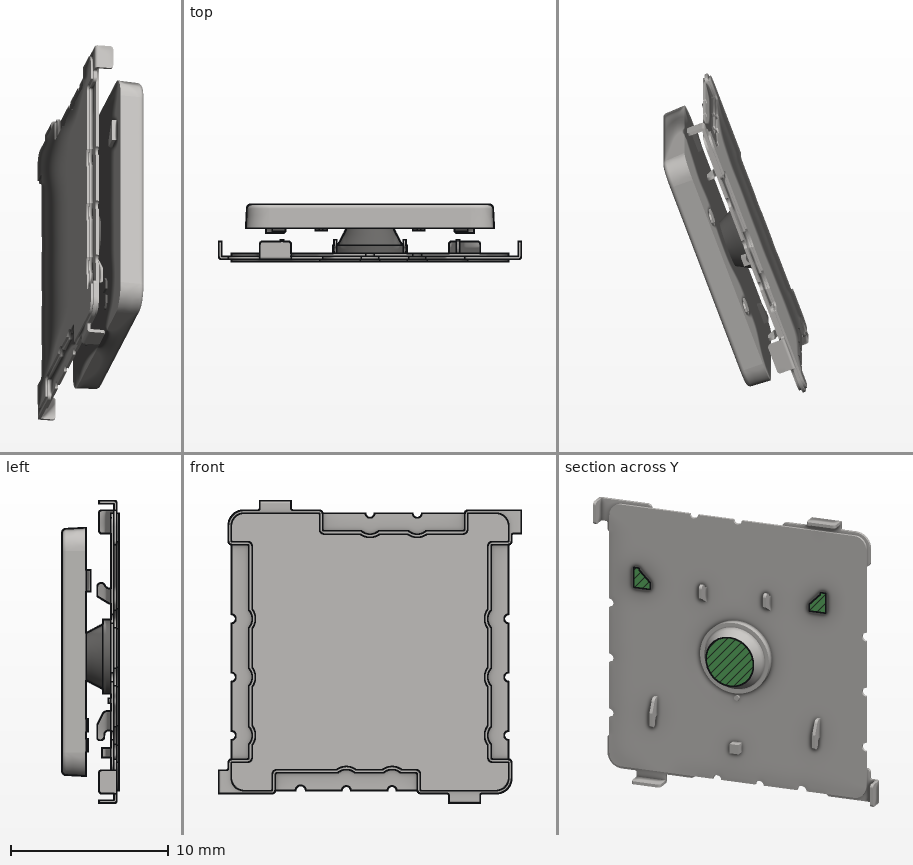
import cadquery as cq

PAD_DEPTH = 0.14
SHEET = 0.2
PAN_BACK = PAD_DEPTH + SHEET
PLATE_THICKNESS = 0.18
PLATE_BACK = PAN_BACK + PLATE_THICKNESS
COLLAR_BACK = 1.04
CAP_FRONT = 2.1
CAP_BACK = 3.64

PAN_HALF = 9.0
PAN_CORNER_RADIUS = 1.0
PAD_MARGIN = 0.2
RECESS_DEPTH = 1.32
RECESS_FLOOR = PAN_HALF - RECESS_DEPTH
RECESS_CORNER_RADIUS = 0.1
RECESS_MOUTH_RADIUS = 0.25
SIDE_RECESS_HALF = 6.8
END_RECESS_NEAR = -3.0
END_RECESS_FAR = 6.0
CUTTER_OVERHANG = 1.0

BULGE_RADIUS = 0.83
BULGE_RISE = 0.21
SIDE_NOTCHES = (-5.3, -1.6, 2.1)
TOP_NOTCHES = (0.0, 3.0)
BOTTOM_NOTCHES = (-1.5, 1.4)
NOTCH_RADIUS = 0.28
WIDE_NOTCH_X = -4.4
WIDE_NOTCH_RADIUS = 0.32

PLATE_HALF = PAN_HALF - PAD_MARGIN
PLATE_CORNER_RADIUS = PAN_CORNER_RADIUS - PAD_MARGIN

TAB_REACH = 9.6
TAB_BACK = 1.29
TAB_ROOT_RADIUS = 0.1
TAB_TIP_RADIUS = 0.2
BEND_RADIUS = 0.17
END_TAB_CENTER = -6.0
END_TAB_WIDTH = 2.0
CORNER_TAB_WIDTH = 1.5

CONE_CENTER_Z = -0.3
COLLAR_RADIUS = 2.36
CONE_BASE_RADIUS = 2.06
CONE_TIP_RADIUS = 1.5

CAP_HALF = 7.89
CAP_CORNER_RADIUS = 1.5
CAP_DRAFT = 3.0
CAP_EDGE_RADIUS = 0.28

LUG_FRONT = 1.8
LUG_OUTER_X = 6.6
LUG_SHOULDER_X = 6.2
LUG_INNER_X = 5.35
LUG_TOP_Z = 5.2
LUG_BOTTOM_Z = 3.83
LUG_CHAMFER = 0.12

CAP_PAD_FRONT = 1.97
CAP_PAD_X = 3.1
CAP_PAD_PAIR_Z = -5.3
CAP_PAD_INNER = 0.22
CAP_PAD_OUTER = 1.05
CAP_PAD_WIDTH = 0.78
CAP_PAD_CHAMFER = 0.28

HOOK_BACK = 1.4
INNER_HOOK_X = 2.2
OUTER_HOOK_X = 5.58

BLOCK_Z = -6.4
BLOCK_SIZE = 0.62
BLOCK_BACK = 1.1
PIN_Z = -3.1
PIN_RADIUS = 0.17
PIN_BACK = 0.7


def sketch_at(y):
    """Workplane facing -Y at the given level; its local axes are X and Z."""
    return cq.Workplane("XZ", origin=(0, y, 0))


def slab(x_min, x_max, z_min, z_max, y_min, y_max):
    size = (x_max - x_min, y_max - y_min, z_max - z_min)
    return cq.Workplane("XY").box(*size, centered=False).translate((x_min, y_min, z_min))


def rounded_square(half, radius, y_min, y_max):
    return slab(-half, half, -half, half, y_min, y_max).edges("|Y").fillet(radius)


def disc(x, z, radius, y_min, y_max):
    return sketch_at(y_min).center(x, z).circle(radius).extrude(y_min - y_max)


def half_turn(body):
    return body.rotate((0, 0, 0), (0, 1, 0), 180)


def recess(start, end, bulges, turn):
    """Cutter for the recess of the +Z side, turned about Y onto the wanted side."""
    cutter = slab(start, end, RECESS_FLOOR, PAN_HALF + CUTTER_OVERHANG, PAD_DEPTH, PAN_BACK)
    cutter = cutter.edges("|Y").fillet(RECESS_CORNER_RADIUS)
    bulge_z = RECESS_FLOOR - BULGE_RISE + BULGE_RADIUS
    for x in bulges:
        cutter = cutter.union(disc(x, bulge_z, BULGE_RADIUS, PAD_DEPTH, PAN_BACK))
    return cutter.rotate((0, 0, 0), (0, 1, 0), turn)


def recessed_sheet():
    sheet = rounded_square(PAN_HALF, PAN_CORNER_RADIUS, PAD_DEPTH, PAN_BACK)
    right_bulges = [-z for z in SIDE_NOTCHES]
    bottom_bulges = [-x for x in BOTTOM_NOTCHES]
    sheet = sheet.cut(recess(END_RECESS_NEAR, END_RECESS_FAR, TOP_NOTCHES, 0))
    sheet = sheet.cut(recess(-SIDE_RECESS_HALF, SIDE_RECESS_HALF, right_bulges, 90))
    sheet = sheet.cut(recess(END_RECESS_NEAR, END_RECESS_FAR, bottom_bulges, 180))
    sheet = sheet.cut(recess(-SIDE_RECESS_HALF, SIDE_RECESS_HALF, SIDE_NOTCHES, 270))
    mouths = [(x, PAN_HALF) for x in (END_RECESS_NEAR, END_RECESS_FAR)]
    mouths += [(PAN_HALF, z) for z in (-SIDE_RECESS_HALF, SIDE_RECESS_HALF)]
    for x, z in mouths:
        for side in (1, -1):
            corner = (side * x, (PAD_DEPTH + PAN_BACK) / 2, side * z)
            edge = sheet.edges("|Y").edges(cq.NearestToPointSelector(corner))
            sheet = edge.fillet(RECESS_MOUTH_RADIUS)
    return sheet


def raised_pad(sheet):
    outline = sheet.faces("<Y").wires().val().offset2D(-PAD_MARGIN)[0]
    return cq.Workplane(cq.Solid.extrudeLinear(outline, [], cq.Vector(0, -PAD_DEPTH, 0)))


def bent_tab(start, end):
    """Tab on the +Z side, spanning start to end along X and bent towards +Y."""
    rooted = PAN_HALF - PAN_CORNER_RADIUS
    foot = slab(start, end, rooted, TAB_REACH, PAD_DEPTH, PAN_BACK)
    wall = slab(start, end, TAB_REACH - SHEET, TAB_REACH, PAD_DEPTH, TAB_BACK)
    wall = wall.edges("|Z and >Y").fillet(TAB_TIP_RADIUS)
    return foot.union(wall).edges("|X and >Z and <Y").fillet(BEND_RADIUS)


def pan():
    sheet = recessed_sheet()
    pad = raised_pad(sheet)
    end_start = END_TAB_CENTER - END_TAB_WIDTH / 2
    end_stop = END_TAB_CENTER + END_TAB_WIDTH / 2
    corner_stop = PAN_HALF - CORNER_TAB_WIDTH
    end_tab = bent_tab(end_start, end_stop)
    corner_tab = bent_tab(-PAN_HALF, -corner_stop).rotate((0, 0, 0), (0, 1, 0), 270)
    for tab in (end_tab, corner_tab):
        sheet = sheet.union(tab).union(half_turn(tab))
    roots = [(end_start, PAN_HALF), (end_stop, PAN_HALF), (PAN_HALF, corner_stop)]
    for x, z in roots:
        for side in (1, -1):
            corner = (side * x, (PAD_DEPTH + PAN_BACK) / 2, side * z)
            edge = sheet.edges("|Y").edges(cq.NearestToPointSelector(corner))
            sheet = edge.fillet(TAB_ROOT_RADIUS)
    return sheet.union(pad)


def notched_plate():
    plate = rounded_square(PLATE_HALF, PLATE_CORNER_RADIUS, PAN_BACK, PLATE_BACK)
    notches = [(side * PLATE_HALF, z) for side in (1, -1) for z in SIDE_NOTCHES]
    notches += [(x, PLATE_HALF) for x in TOP_NOTCHES]
    notches += [(x, -PLATE_HALF) for x in BOTTOM_NOTCHES]
    for x, z in notches:
        plate = plate.cut(disc(x, z, NOTCH_RADIUS, PAN_BACK, PLATE_BACK))
    return plate.cut(disc(WIDE_NOTCH_X, -PLATE_HALF, WIDE_NOTCH_RADIUS, PAN_BACK, PLATE_BACK))


def collar_and_cone():
    """Turned about an axis along Y, from the plate to the underside of the cap."""
    profile = [
        (0, PLATE_BACK),
        (COLLAR_RADIUS, PLATE_BACK),
        (COLLAR_RADIUS, COLLAR_BACK),
        (CONE_BASE_RADIUS, COLLAR_BACK),
        (CONE_TIP_RADIUS, CAP_FRONT),
        (0, CAP_FRONT),
    ]
    half_plane = cq.Workplane(cq.Plane((0, 0, CONE_CENTER_Z), (0, 0, 1), (-1, 0, 0)))
    return half_plane.polyline(profile).close().revolve(360, (0, 0), (0, 1))


def cap():
    outline = cq.Sketch().rect(2 * CAP_HALF, 2 * CAP_HALF).vertices().fillet(CAP_CORNER_RADIUS)
    body = sketch_at(CAP_FRONT).placeSketch(outline).extrude(CAP_FRONT - CAP_BACK, taper=CAP_DRAFT)
    return body.faces(">Y").edges().fillet(CAP_EDGE_RADIUS)


def cap_lug():
    """Lug on the +X side: a square block and a wedge with bevelled lower edges towards X = 0."""
    block = slab(LUG_SHOULDER_X, LUG_OUTER_X, LUG_BOTTOM_Z, LUG_TOP_Z, LUG_FRONT, CAP_FRONT)
    slant_run = LUG_SHOULDER_X - LUG_INNER_X
    slant_end_z = LUG_TOP_Z - slant_run
    outline = [
        (LUG_SHOULDER_X, LUG_BOTTOM_Z),
        (LUG_SHOULDER_X, LUG_TOP_Z),
        (LUG_INNER_X, slant_end_z),
        (LUG_INNER_X, LUG_BOTTOM_Z),
    ]
    wedge = sketch_at(LUG_FRONT).polyline(outline).close().extrude(LUG_FRONT - CAP_FRONT)
    slant_middle = (LUG_SHOULDER_X - slant_run / 2, LUG_FRONT, LUG_TOP_Z - slant_run / 2)
    inner_middle = (LUG_INNER_X, LUG_FRONT, (slant_end_z + LUG_BOTTOM_Z) / 2)
    slant_edge = wedge.edges(cq.NearestToPointSelector(slant_middle))
    inner_edge = wedge.edges(cq.NearestToPointSelector(inner_middle))
    wedge = wedge.newObject(slant_edge.vals() + inner_edge.vals()).chamfer(LUG_CHAMFER)
    return block.union(wedge)


def cap_pad(x, direction):
    """Pad of a facing pair; direction is the way its tapered outer end points along Z."""
    ends = [CAP_PAD_PAIR_Z + direction * reach for reach in (CAP_PAD_INNER, CAP_PAD_OUTER)]
    half = CAP_PAD_WIDTH / 2
    pad = slab(x - half, x + half, min(ends), max(ends), CAP_PAD_FRONT, CAP_FRONT)
    outer_end = ">Z" if direction > 0 else "<Z"
    return pad.faces(outer_end).edges("|Y").chamfer(CAP_PAD_CHAMFER)


def hook_sheet(profile, x):
    """Close a YZ profile and give it the sheet thickness, centred on x."""
    return profile.close().extrude(SHEET / 2, both=True).translate((x, 0, 0))


def upper_hook(x):
    """Short hook whose rounded head points towards +Z."""
    root_low = 3.07
    root_high = 4.03
    slope_start = (0.64, root_low)
    slope_end = (HOOK_BACK, 3.53)
    head_start = (HOOK_BACK, 4.15)
    head_tip = (1.15, 4.38)
    throat_start = (0.92, 4.25)
    throat_middle = (0.8, 4.09)
    throat_end = (0.62, root_high)
    profile = (
        cq.Workplane("YZ")
        .moveTo(PLATE_BACK, root_low)
        .lineTo(*slope_start)
        .lineTo(*slope_end)
        .lineTo(*head_start)
        .threePointArc(head_tip, throat_start)
        .threePointArc(throat_middle, throat_end)
        .lineTo(PLATE_BACK, root_high)
    )
    return hook_sheet(profile, x)


def lower_hook(x):
    """Long hook whose rounded head points towards -Z."""
    root_high = -3.75
    root_low = -5.0
    shoulder_start = (0.8, root_high)
    shoulder_middle = (0.99, -3.85)
    shoulder_end = (1.1, -4.03)
    slope_end = (HOOK_BACK, -4.63)
    head_start = (HOOK_BACK, -5.5)
    head_tip = (1.18, -5.62)
    head_end = (0.95, -5.45)
    throat_start = (0.93, -5.25)
    throat_middle = (0.86, -5.07)
    throat_end = (0.7, root_low)
    profile = (
        cq.Workplane("YZ")
        .moveTo(PLATE_BACK, root_high)
        .lineTo(*shoulder_start)
        .threePointArc(shoulder_middle, shoulder_end)
        .lineTo(*slope_end)
        .lineTo(*head_start)
        .threePointArc(head_tip, head_end)
        .lineTo(*throat_start)
        .threePointArc(throat_middle, throat_end)
        .lineTo(PLATE_BACK, root_low)
    )
    return hook_sheet(profile, x)


def block_and_pin():
    half = BLOCK_SIZE / 2
    block = slab(-half, half, BLOCK_Z - half, BLOCK_Z + half, PLATE_BACK, BLOCK_BACK)
    pin = disc(0, PIN_Z, PIN_RADIUS, PLATE_BACK, PIN_BACK)
    return [block, pin]


def hooks():
    inner = [upper_hook(side * INNER_HOOK_X) for side in (1, -1)]
    outer = [lower_hook(side * OUTER_HOOK_X) for side in (1, -1)]
    return inner + outer


def cap_lugs_and_pads():
    lug = cap_lug()
    pads = [cap_pad(side * CAP_PAD_X, direction) for side in (1, -1) for direction in (1, -1)]
    return [lug, lug.mirror("YZ")] + pads


result = pan().union(notched_plate()).union(collar_and_cone()).union(cap())
for detail in block_and_pin() + hooks() + cap_lugs_and_pads():
    result = result.union(detail)